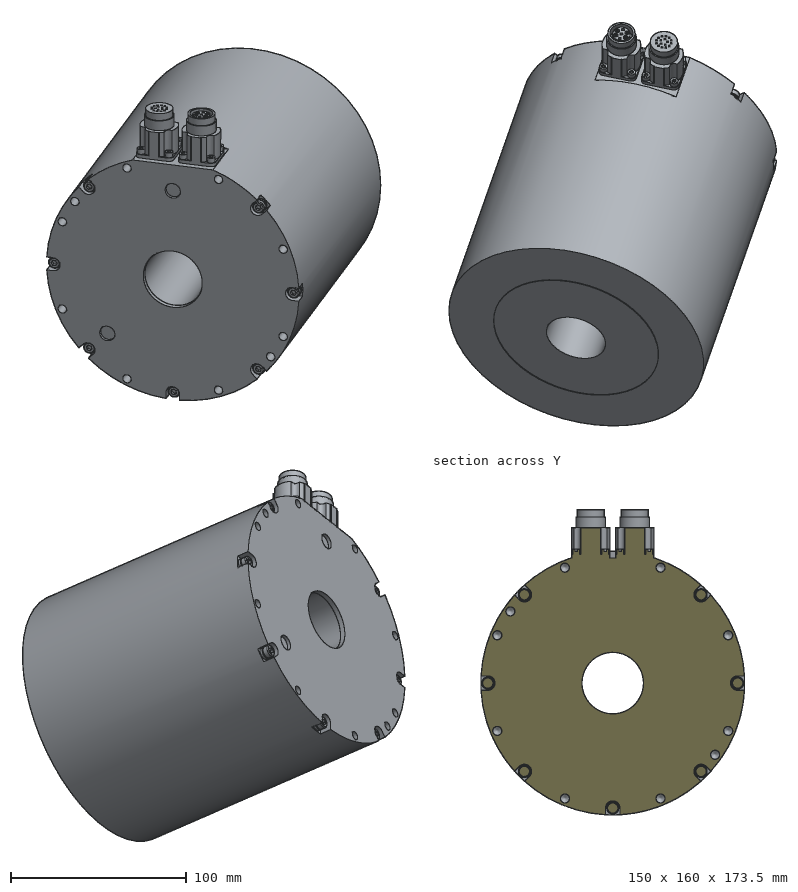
import math

import cadquery as cq

DRUM_RADIUS = 75.0
TOTAL_LENGTH = 160.0
BACK_BOSS_RADIUS = 48.5
BACK_BOSS_HEIGHT = 0.5
DRUM_LENGTH = TOTAL_LENGTH - BACK_BOSS_HEIGHT

BORE_DIAMETER = 34.8
BORE_ENTRY_DIAMETER = 35.0
BORE_ENTRY_DEPTH = 3.0

RIM_CIRCLE_RADIUS = 71.0
RIM_HOLE_DIAMETER = 5.0
RIM_HOLE_DEPTH = 10.0
DRILL_TIP_ANGLE = 118.0
RIM_HOLE_ANGLES = [22.5 + 45.0 * step for step in range(8)] + [-35.0, 145.0]
RECESS_CIRCLE_RADIUS = 55.0
RECESS_DIAMETER = 9.0
RECESS_DEPTH = 2.0
RECESS_ANGLES = [90.0, 225.0]

RIM_SCREW_ANGLES = [45.0 * step for step in range(8) if step != 2]
NOTCH_WIDTH = 8.0
NOTCH_DEPTH = 7.3
RIM_HEAD_DIAMETER = 7.0
RIM_HEAD_HEIGHT = 4.0
RIM_HEAD_CHAMFER = 0.6
RIM_SOCKET_SIZE = 3.0
RIM_SOCKET_DEPTH = 2.0
WASHER_DIAMETER = 6.9
WASHER_HEIGHT = 1.5

SEAT_HEIGHT = 71.1
SEAT_LENGTH = 30.2

CONNECTOR_OFFSET = 12.5
CONNECTOR_Y = 14.8
FLANGE_SIZE = 22.0
FLANGE_THICKNESS = 2.1
FLANGE_CORNER_RADIUS = 3.0
SHELL_DIAMETER = 22.0
SHELL_FLAT_WIDTH = 21.0
SHELL_HEIGHT = 17.2
SHELL_PAD_WIDTH = 5.6
CORNER_RELIEF_START = 5.75
CORNER_RELIEF_RADIUS = 2.4
COLLAR_DIAMETER = 17.0
COLLAR_TOP = 23.2
NOSE_DIAMETER = 15.5
NOSE_TOP = 27.4

FLANGE_SCREW_OFFSET = 8.25
FLANGE_HEAD_DIAMETER = 4.5
FLANGE_HEAD_HEIGHT = 2.9
FLANGE_SOCKET_SIZE = 2.0
FLANGE_SOCKET_DEPTH = 1.2

SIGNAL_HOLE_DIAMETER = 1.0
SIGNAL_HOLE_DEPTH = 5.0
SIGNAL_RINGS = [(12, 4.3), (5, 2.1)]

CUP_DIAMETER = 13.0
CUP_DEPTH = 5.0
INSERT_DIAMETER = 10.0
INSERT_HEIGHT = 4.2
POWER_HOLE_DIAMETER = 2.5
POWER_PIN_DIAMETER = 1.0
POWER_HOLE_DEPTH = 3.0
POWER_HOLE_X = 2.9
POWER_HOLE_Y = 1.7
POWER_HOLE_SPOTS = [(x, y) for x in (-POWER_HOLE_X, POWER_HOLE_X) for y in (-POWER_HOLE_Y, POWER_HOLE_Y)]
KEY_HOLE_DIAMETER = 1.5
KEY_HOLE_Y = 2 * POWER_HOLE_Y
KEY_HOLE_SPOTS = [(0.0, y) for y in (-KEY_HOLE_Y, 0.0, KEY_HOLE_Y)]


def hex_corner_diameter(across_flats):
    """Circumscribed diameter of a hexagon with the given width across flats."""
    return across_flats / math.cos(math.radians(30.0))


def front_cylinder(diameter, start, end):
    """Cylinder about the Y axis running from y = start to y = end."""
    return cq.Workplane("XZ", origin=(0, start, 0)).circle(diameter / 2).extrude(start - end)


def upright_cylinder(diameter, bottom, top):
    """Cylinder about the Z axis running from z = bottom to z = top."""
    return cq.Workplane("XY").workplane(offset=bottom).circle(diameter / 2).extrude(top - bottom)


def on_front(shape, radius, angle):
    """Move a shape from the drum axis to a polar position on the front face."""
    return shape.translate((radius, 0, 0)).rotate((0, 0, 0), (0, 1, 0), -angle)


def ring_points(count, radius):
    """Evenly spaced points on a circle, with one point on the -Y side."""
    angles = [math.radians(360.0 * step / count - 90.0) for step in range(count)]
    return [(radius * math.cos(angle), radius * math.sin(angle)) for angle in angles]


def make_drum():
    drum = front_cylinder(2 * DRUM_RADIUS, 0, DRUM_LENGTH)
    drum = drum.union(front_cylinder(2 * BACK_BOSS_RADIUS, DRUM_LENGTH, TOTAL_LENGTH))
    drum = drum.cut(front_cylinder(BORE_DIAMETER, 0, TOTAL_LENGTH))
    drum = drum.cut(front_cylinder(BORE_ENTRY_DIAMETER, 0, BORE_ENTRY_DEPTH))
    seat_cut = cq.Workplane("XY").box(
        2 * DRUM_RADIUS, SEAT_LENGTH, DRUM_RADIUS, centered=(True, False, False)
    )
    return drum.cut(seat_cut.translate((0, 0, SEAT_HEIGHT)))


def make_rim_hole():
    """Drilled hole with a conical bottom."""
    radius = RIM_HOLE_DIAMETER / 2
    tip_depth = RIM_HOLE_DEPTH + radius / math.tan(math.radians(DRILL_TIP_ANGLE / 2))
    profile = [(0, 0), (radius, 0), (radius, RIM_HOLE_DEPTH), (0, tip_depth)]
    return cq.Workplane("XY").polyline(profile).close().revolve(360, (0, 0), (0, 1))


def make_notch():
    """Round screw seat opened straight out through the rim along +X."""
    seat = front_cylinder(NOTCH_WIDTH, 0, NOTCH_DEPTH)
    opening = cq.Workplane("XY").box(
        NOTCH_WIDTH, NOTCH_DEPTH, NOTCH_WIDTH, centered=(False, False, True)
    )
    return seat.union(opening)


def make_rim_screw():
    """Washer and socket head standing on the notch floor."""
    head_bottom = NOTCH_DEPTH - WASHER_HEIGHT
    head_top = head_bottom - RIM_HEAD_HEIGHT
    washer = front_cylinder(WASHER_DIAMETER, head_bottom, NOTCH_DEPTH)
    head = front_cylinder(RIM_HEAD_DIAMETER, head_top, head_bottom)
    head = head.edges("%CIRCLE").chamfer(RIM_HEAD_CHAMFER)
    socket = (
        cq.Workplane("XZ", origin=(0, head_top, 0))
        .polygon(6, hex_corner_diameter(RIM_SOCKET_SIZE))
        .extrude(-RIM_SOCKET_DEPTH)
    )
    return head.cut(socket).union(washer)


def add_front_features(body):
    for angle in RIM_HOLE_ANGLES:
        body = body.cut(on_front(make_rim_hole(), RIM_CIRCLE_RADIUS, angle))
    for angle in RECESS_ANGLES:
        recess = front_cylinder(RECESS_DIAMETER, 0, RECESS_DEPTH)
        body = body.cut(on_front(recess, RECESS_CIRCLE_RADIUS, angle))
    for angle in RIM_SCREW_ANGLES:
        body = body.cut(on_front(make_notch(), RIM_CIRCLE_RADIUS, angle))
        body = body.union(on_front(make_rim_screw(), RIM_CIRCLE_RADIUS, angle))
    return body


def make_flange_screw():
    head_top = FLANGE_THICKNESS + FLANGE_HEAD_HEIGHT
    socket = (
        cq.Workplane("XY")
        .workplane(offset=head_top)
        .polygon(6, hex_corner_diameter(FLANGE_SOCKET_SIZE))
        .extrude(-FLANGE_SOCKET_DEPTH)
    )
    return upright_cylinder(FLANGE_HEAD_DIAMETER, FLANGE_THICKNESS, head_top).cut(socket)


def make_shell():
    """Round shell flattened on its Y sides, with a pad on each flat and a relief at each corner."""
    flats = cq.Workplane("XY").rect(SHELL_DIAMETER, SHELL_FLAT_WIDTH).extrude(SHELL_HEIGHT)
    shell = upright_cylinder(SHELL_DIAMETER, 0, SHELL_HEIGHT).intersect(flats)
    pads = cq.Workplane("XY").rect(SHELL_PAD_WIDTH, FLANGE_SIZE).extrude(SHELL_HEIGHT)
    relief_size = FLANGE_SIZE / 2
    relief_center = CORNER_RELIEF_START + relief_size / 2
    reliefs = (
        cq.Workplane("XY")
        .workplane(offset=FLANGE_THICKNESS)
        .rect(2 * relief_center, 2 * relief_center, forConstruction=True)
        .vertices()
        .rect(relief_size, relief_size)
        .extrude(SHELL_HEIGHT)
        .edges("|Z")
        .fillet(CORNER_RELIEF_RADIUS)
    )
    return shell.union(pads).cut(reliefs)


def make_connector():
    """Connector without contacts, standing on z = 0."""
    flange = (
        cq.Workplane("XY")
        .rect(FLANGE_SIZE, FLANGE_SIZE)
        .extrude(FLANGE_THICKNESS)
        .edges("|Z")
        .fillet(FLANGE_CORNER_RADIUS)
    )
    connector = make_shell().union(flange)
    connector = connector.union(upright_cylinder(COLLAR_DIAMETER, 0, COLLAR_TOP))
    connector = connector.union(upright_cylinder(NOSE_DIAMETER, 0, NOSE_TOP))
    for x in (-FLANGE_SCREW_OFFSET, FLANGE_SCREW_OFFSET):
        for y in (-FLANGE_SCREW_OFFSET, FLANGE_SCREW_OFFSET):
            connector = connector.union(make_flange_screw().translate((x, y, 0)))
    return connector


def make_signal_connector():
    connector = make_connector()
    for count, radius in SIGNAL_RINGS:
        holes = (
            cq.Workplane("XY")
            .workplane(offset=NOSE_TOP)
            .pushPoints(ring_points(count, radius))
            .circle(SIGNAL_HOLE_DIAMETER / 2)
            .extrude(-SIGNAL_HOLE_DEPTH)
        )
        connector = connector.cut(holes)
    return connector


def make_power_connector():
    cup_floor = NOSE_TOP - CUP_DEPTH
    insert_top = cup_floor + INSERT_HEIGHT
    hole_bottom = insert_top - POWER_HOLE_DEPTH
    connector = make_connector().cut(upright_cylinder(CUP_DIAMETER, cup_floor, NOSE_TOP))
    connector = connector.union(upright_cylinder(INSERT_DIAMETER, cup_floor, insert_top))
    power_hole = upright_cylinder(POWER_HOLE_DIAMETER, hole_bottom, insert_top)
    power_hole = power_hole.cut(upright_cylinder(POWER_PIN_DIAMETER, hole_bottom, insert_top))
    for x, y in POWER_HOLE_SPOTS:
        connector = connector.cut(power_hole.translate((x, y, 0)))
    key_hole = upright_cylinder(KEY_HOLE_DIAMETER, hole_bottom, insert_top)
    for x, y in KEY_HOLE_SPOTS:
        connector = connector.cut(key_hole.translate((x, y, 0)))
    return connector


result = add_front_features(make_drum())
result = result.union(make_signal_connector().translate((-CONNECTOR_OFFSET, CONNECTOR_Y, SEAT_HEIGHT)))
result = result.union(make_power_connector().translate((CONNECTOR_OFFSET, CONNECTOR_Y, SEAT_HEIGHT)))